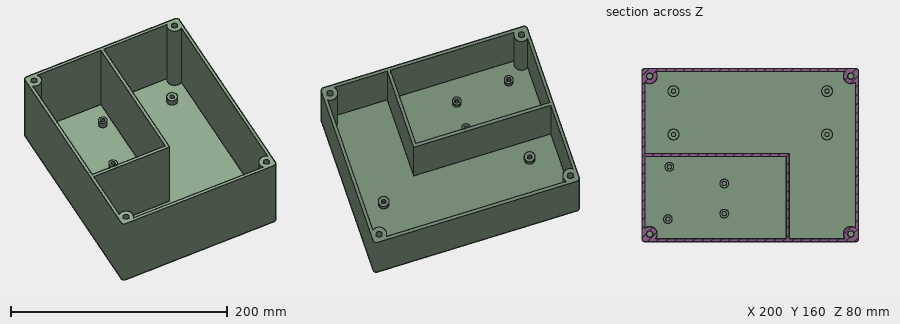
import cadquery as cq

LENGTH = 200.0
WIDTH = 160.0
HEIGHT = 80.0
WALL = 3.0
FLOOR = 3.0
CORNER_RADIUS = 3.0

POST_DIAMETER = 14.0
POST_HOLE_DIAMETER = 5.5
POST_INSET = 7.2

COMPARTMENT_LENGTH = 130.0
COMPARTMENT_WIDTH = 75.5

STANDOFF_HEIGHT = 6.0
STANDOFF_HOLE_DIAMETER = 4.0
MAIN_STANDOFF_DIAMETER = 10.0
MAIN_SPACING_X = 141.5
MAIN_SPACING_Y = 40.0
MAIN_CENTER_Y = 39.0
SMALL_STANDOFF_DIAMETER = 8.0
SMALL_STANDOFF_POINTS = [(-76.0, -59.0), (-74.5, -10.8), (-24.0, -54.0), (-24.0, -26.2)]

INNER_LENGTH = LENGTH - 2 * WALL
INNER_WIDTH = WIDTH - 2 * WALL
INNER_HEIGHT = HEIGHT - FLOOR


def rectangle_points(spacing_x, spacing_y, center_y=0.0):
    """Corners of a rectangle centred on the YZ plane."""
    return [
        (side_x * spacing_x / 2, center_y + side_y * spacing_y / 2)
        for side_x in (-1, 1)
        for side_y in (-1, 1)
    ]


def floor_cylinders(points, diameter, height):
    """Upright cylinders standing on the floor."""
    return cq.Workplane("XY", origin=(0, 0, FLOOR)).pushPoints(points).circle(diameter / 2).extrude(height)


def corner_block(length, width):
    """Full-depth block in the front left corner of the cavity."""
    return (
        cq.Workplane("XY", origin=(-INNER_LENGTH / 2, -INNER_WIDTH / 2, FLOOR))
        .rect(length, width, centered=False)
        .extrude(INNER_HEIGHT)
    )


def make_shell():
    """Open box with rounded vertical outer edges."""
    body = cq.Workplane("XY").box(LENGTH, WIDTH, HEIGHT, centered=(True, True, False))
    body = body.edges("|Z").fillet(CORNER_RADIUS)
    cavity = cq.Workplane("XY", origin=(0, 0, FLOOR)).rect(INNER_LENGTH, INNER_WIDTH).extrude(INNER_HEIGHT)
    return body.cut(cavity)


def make_divider():
    """L-shaped wall around the compartment."""
    outside = corner_block(COMPARTMENT_LENGTH + WALL, COMPARTMENT_WIDTH + WALL)
    return outside.cut(corner_block(COMPARTMENT_LENGTH, COMPARTMENT_WIDTH))


post_points = rectangle_points(LENGTH - 2 * POST_INSET, WIDTH - 2 * POST_INSET)
main_points = rectangle_points(MAIN_SPACING_X, MAIN_SPACING_Y, MAIN_CENTER_Y)

result = make_shell().union(make_divider())
result = result.union(floor_cylinders(post_points, POST_DIAMETER, INNER_HEIGHT))
result = result.union(floor_cylinders(main_points, MAIN_STANDOFF_DIAMETER, STANDOFF_HEIGHT))
result = result.union(floor_cylinders(SMALL_STANDOFF_POINTS, SMALL_STANDOFF_DIAMETER, STANDOFF_HEIGHT))

result = result.cut(floor_cylinders(post_points, POST_HOLE_DIAMETER, INNER_HEIGHT))
standoff_points = main_points + SMALL_STANDOFF_POINTS
result = result.cut(floor_cylinders(standoff_points, STANDOFF_HOLE_DIAMETER, STANDOFF_HEIGHT))